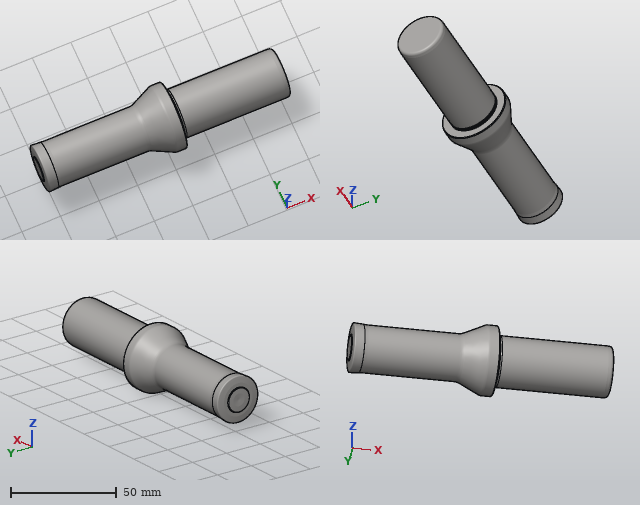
import cadquery as cq
import math

total_length = 126.0

head_radius = 12.0
head_back_radius = 11.7
head_length = 5.7
corner_radius = 0.6
corner_end = 1.5
face_rings = [
    (0.8, 10.5),
    (0.5, 8.5),
    (0.5, 6.4),
    (0.1, 6.0),
    (0.06, 4.8),
    (0.0, 3.3),
    (0.1, 1.4),
]
centre_depth = 0.3

body_radius = 23.0 / 2
body_start = 7.5
collar_radius = 34.0 / 2
collar_flat_start = 65.5
collar_end = 70.2
collar_chamfer = 0.4
flare_angle = math.radians(25)
flare_root_radius = 5.3
flare_top_radius = 2.9

shank_radius = 25.0 / 2
relief_radius = 24.5 / 2
relief_start = 70.5
relief_end = 71.2
shank_start = 72.0
lead_start = 123.3
lead_end = 124.5
lead_radius = 12.3
shank_round = total_length - lead_end


def arc_point(centre, radius, angle):
    """Point of a circle; the angle is measured from the outward radial direction toward the tip."""
    return (centre[0] - radius * math.sin(angle), centre[1] + radius * math.cos(angle))


def revolve_about_x(profile):
    return profile.close().revolve(360, (0, 0, 0), (1, 0, 0))


def make_cutting_head():
    corner_centre = (corner_end, head_radius - corner_radius)
    profile = (
        cq.Workplane("XY")
        .moveTo(head_length, 0)
        .lineTo(head_length, head_back_radius)
        .lineTo(corner_end, head_radius)
        .threePointArc(
            arc_point(corner_centre, corner_radius, math.pi / 4),
            arc_point(corner_centre, corner_radius, math.pi / 2),
        )
    )
    for ring in face_rings:
        profile = profile.lineTo(*ring)
    return revolve_about_x(profile.lineTo(centre_depth, 0))


def make_holder():
    top_centre = (collar_flat_start, collar_radius - flare_top_radius)
    flare_top = arc_point(top_centre, flare_top_radius, flare_angle)
    root_rise = flare_root_radius * (1 - math.cos(flare_angle))
    root_run = flare_root_radius * math.sin(flare_angle)
    flare_rise = flare_top[1] - body_radius - root_rise
    root_start = flare_top[0] - flare_rise / math.tan(flare_angle) - root_run
    root_centre = (root_start, body_radius + flare_root_radius)
    end_centre = (lead_end, lead_radius - shank_round)

    profile = (
        cq.Workplane("XY")
        .moveTo(head_length, 0)
        .lineTo(head_length, head_back_radius)
        .lineTo(body_start, body_radius)
        .lineTo(root_start, body_radius)
        .threePointArc(
            arc_point(root_centre, -flare_root_radius, flare_angle / 2),
            arc_point(root_centre, -flare_root_radius, flare_angle),
        )
        .lineTo(*flare_top)
        .threePointArc(
            arc_point(top_centre, flare_top_radius, flare_angle / 2),
            (collar_flat_start, collar_radius),
        )
        .lineTo(collar_end - collar_chamfer, collar_radius)
        .lineTo(collar_end, collar_radius - collar_chamfer)
        .lineTo(collar_end, shank_radius)
        .lineTo(relief_start, relief_radius)
        .lineTo(relief_end, relief_radius)
        .lineTo(shank_start, shank_radius)
        .lineTo(lead_start, shank_radius)
        .lineTo(lead_end, lead_radius)
        .threePointArc(
            arc_point(end_centre, shank_round, -math.pi / 4),
            arc_point(end_centre, shank_round, -math.pi / 2),
        )
        .lineTo(total_length, 0)
    )
    return revolve_about_x(profile)


cutting_head = make_cutting_head()
holder = make_holder()

result = cq.Compound.makeCompound([cutting_head.val(), holder.val()])